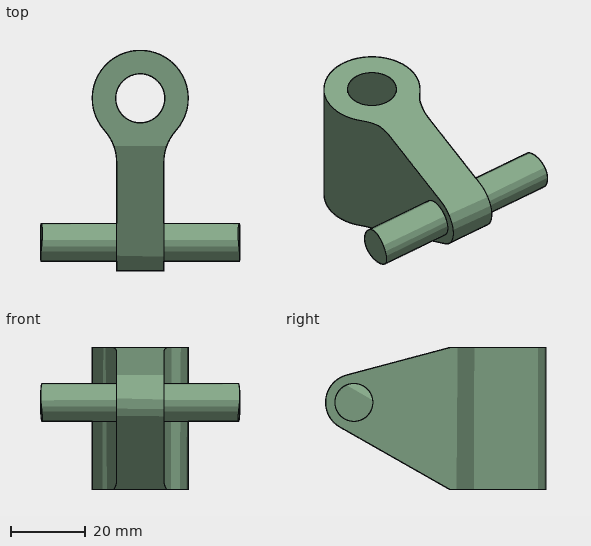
import cadquery as cq
import math

bore_diameter = 13.09
ring_wall = 6.35
ring_height = 38.1
ring_radius = bore_diameter / 2 + ring_wall

arm_thickness = 12.7
arm_half_thickness = arm_thickness / 2
blend_radius = 12.7
nose_radius = 7.62

pin_diameter = 10.16
pin_length = 53.34
pin_height = 23.37
overall_depth = 59.11
pin_distance = overall_depth - ring_radius - nose_radius

pin_end_radius = pin_length / 2

taper_run = pin_distance - ring_radius


def taper_angle(rise):
    """Slope of the line tangent to the nose from a point taper_run back and rise away from the pin."""
    return math.atan2(rise, taper_run) - math.asin(nose_radius / math.hypot(rise, taper_run))


upper_angle = taper_angle(ring_height - pin_height)
lower_angle = taper_angle(pin_height)


def plan_body():
    """Ring and arm extruded full height, with concave blends where they meet."""
    blend_x = arm_half_thickness + blend_radius
    center_distance = ring_radius + blend_radius
    blend_y = -math.sqrt(center_distance**2 - blend_x**2)
    ring_tangent_x = blend_x * ring_radius / center_distance
    ring_tangent_y = blend_y * ring_radius / center_distance

    sweep_angle = math.atan2(-blend_y, blend_x)
    blend_mid_x = blend_x - blend_radius * math.cos(sweep_angle / 2)
    blend_mid_y = blend_y + blend_radius * math.sin(sweep_angle / 2)

    nose_tip_y = -(pin_distance + nose_radius)
    return (
        cq.Workplane("XY")
        .moveTo(arm_half_thickness, nose_tip_y)
        .lineTo(arm_half_thickness, blend_y)
        .threePointArc((blend_mid_x, blend_mid_y), (ring_tangent_x, ring_tangent_y))
        .threePointArc((0, ring_radius), (-ring_tangent_x, ring_tangent_y))
        .threePointArc((-blend_mid_x, blend_mid_y), (-arm_half_thickness, blend_y))
        .lineTo(-arm_half_thickness, nose_tip_y)
        .close()
        .extrude(ring_height)
    )


def side_profile():
    """Side outline in YZ: full height at the ring, tapering to the round nose."""
    upper_tangent = (
        -pin_distance - nose_radius * math.sin(upper_angle),
        pin_height + nose_radius * math.cos(upper_angle),
    )
    lower_tangent = (
        -pin_distance - nose_radius * math.sin(lower_angle),
        pin_height - nose_radius * math.cos(lower_angle),
    )
    nose_tip = (-pin_distance - nose_radius, pin_height)
    return (
        cq.Workplane("YZ")
        .moveTo(ring_radius, 0)
        .lineTo(ring_radius, ring_height)
        .lineTo(-ring_radius, ring_height)
        .lineTo(*upper_tangent)
        .threePointArc(nose_tip, lower_tangent)
        .lineTo(-ring_radius, 0)
        .close()
        .extrude(ring_radius, both=True)
    )


def cross_pin():
    """Pin along X, its ends rounded about an axis parallel to the lower taper."""
    rod = (
        cq.Workplane("YZ")
        .center(-pin_distance, pin_height)
        .circle(pin_diameter / 2)
        .extrude(pin_length / 2, both=True)
    )
    end_plane = cq.Plane(
        origin=(0, -pin_distance, pin_height),
        xDir=(1, 0, 0),
        normal=(0, -math.cos(lower_angle), math.sin(lower_angle)),
    )
    end_cylinder = cq.Workplane(end_plane).circle(pin_end_radius).extrude(pin_diameter, both=True)
    return rod.intersect(end_cylinder)


bore = cq.Workplane("XY").circle(bore_diameter / 2).extrude(ring_height)

result = plan_body().intersect(side_profile()).cut(bore).union(cross_pin())